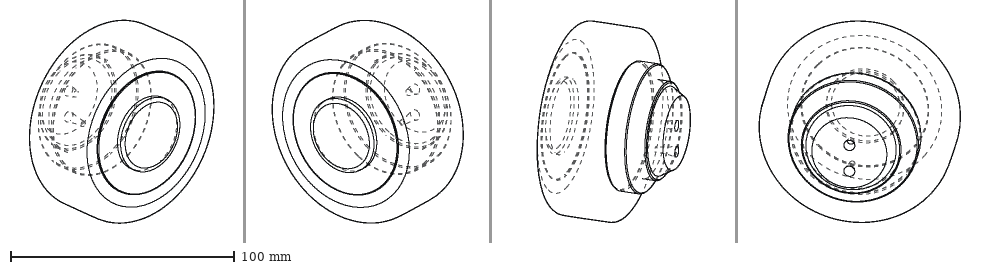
import cadquery as cq
import math

nose_end = 6.0
flange_front = 13.0
flange_back = 22.95
wheel_front = 23.2
wheel_back = 53.4
cover_back = 54.1
length = 57.0

nose_tip_radius = 16.95
nose_slope = math.radians(30)
collar_radius = 45 / 2
flange_radius = 59.0 / 2
wheel_radius = 88.3 / 2
cover_radius = 57.8 / 2
hub_radius = 35.0 / 2

crown_radius = 1000.3
wheel_front_fillet = 2.0
wheel_back_fillet = 4.0
wheel_back_face_radius = 34.9
back_slope = math.radians(20)

edge_break = 0.5
cover_chamfer = 0.35
hub_chamfer_drop = 2.0

mouth_radius = 4.95 / 2
throat_radius = 3.0 / 2
bore_radius = 2.5 / 2
mouth_depth = 5.0
bore_depth = 5.0
upper_hole_z = 3.5
lower_hole_z = -9.0
lower_throat_z = -9.2


def revolve_about_x(profile):
    return profile.close().revolve(360, (0, 0, 0), (1, 0, 0))


def turned_disc(x_start, x_end, radius):
    return cq.Workplane("YZ", origin=(x_start, 0, 0)).circle(radius).extrude(x_end - x_start)


def make_nose():
    """Cone that widens from the tip towards the collar."""
    base_radius = nose_tip_radius + nose_end * math.tan(nose_slope)
    profile = (
        cq.Workplane("XY")
        .lineTo(0, nose_tip_radius)
        .lineTo(nose_end, base_radius)
        .lineTo(nose_end, 0)
    )
    return revolve_about_x(profile)


def make_collar_and_flange():
    """Two steps with broken edges and a small fillet in the corner between them."""
    collar = turned_disc(nose_end, flange_back, collar_radius).faces("<X").chamfer(edge_break)
    flange = turned_disc(flange_front, flange_back, flange_radius).edges().chamfer(edge_break)
    corner = cq.selectors.BoxSelector(
        (flange_front - 0.1, -collar_radius - 0.1, -collar_radius - 0.1),
        (flange_front + 0.1, collar_radius + 0.1, collar_radius + 0.1),
        boundingbox=True,
    )
    return collar.union(flange).edges(corner).fillet(edge_break)


def make_wheel():
    """Slightly crowned tread, rounded front corner and a conical back shoulder."""
    crown_x = (wheel_front + wheel_back) / 2
    cone_run = (wheel_radius - wheel_back_face_radius) * math.tan(back_slope)
    shoulder_x = wheel_back - cone_run

    def tread_radius(x):
        return wheel_radius - crown_radius + math.sqrt(crown_radius**2 - (x - crown_x) ** 2)

    profile = (
        cq.Workplane("XY")
        .moveTo(wheel_front, 0)
        .lineTo(wheel_front, tread_radius(wheel_front))
        .threePointArc((crown_x, wheel_radius), (shoulder_x, tread_radius(shoulder_x)))
        .lineTo(wheel_back, wheel_back_face_radius)
        .lineTo(wheel_back, 0)
    )
    wheel = revolve_about_x(profile)
    wheel = wheel.faces("<X").edges().fillet(wheel_front_fillet)
    shoulder = cq.selectors.NearestToPointSelector((shoulder_x, 0, 0))
    return wheel.edges(shoulder).fillet(wheel_back_fillet)


def make_cover():
    """Cover plate that runs through the wheel and shows at both of its faces."""
    return turned_disc(flange_back, cover_back, cover_radius).faces(">X").chamfer(cover_chamfer)


def make_hub():
    """Hub end with a shallow conical edge."""
    hub_chamfer_run = hub_chamfer_drop * math.tan(back_slope)
    profile = (
        cq.Workplane("XY")
        .moveTo(cover_back, 0)
        .lineTo(cover_back, hub_radius)
        .lineTo(length - hub_chamfer_run, hub_radius)
        .lineTo(length, hub_radius - hub_chamfer_drop)
        .lineTo(length, 0)
    )
    return revolve_about_x(profile)


def tapered_hole(x_start, z_start, radius_start, depth, z_end, radius_end):
    """Tapered cutter along +X whose far end may sit at another height."""
    return (
        cq.Workplane("YZ", origin=(x_start, 0, 0))
        .center(0, z_start)
        .circle(radius_start)
        .workplane(offset=depth)
        .center(0, z_end - z_start)
        .circle(radius_end)
        .loft(ruled=True)
    )


result = (
    make_nose()
    .union(make_collar_and_flange())
    .union(make_wheel())
    .union(make_cover())
    .union(make_hub())
)

upper_hole = cq.Solid.makeCone(
    mouth_radius, throat_radius, mouth_depth, cq.Vector(0, 0, upper_hole_z), cq.Vector(1, 0, 0)
)
result = result.cut(cq.Workplane(obj=upper_hole))

bore_z = lower_throat_z - (throat_radius - bore_radius)
lower_mouth = tapered_hole(0, lower_hole_z, mouth_radius, mouth_depth, lower_throat_z, throat_radius)
lower_bore = tapered_hole(mouth_depth, lower_throat_z, throat_radius, bore_depth, bore_z, bore_radius)
result = result.cut(lower_mouth).cut(lower_bore)